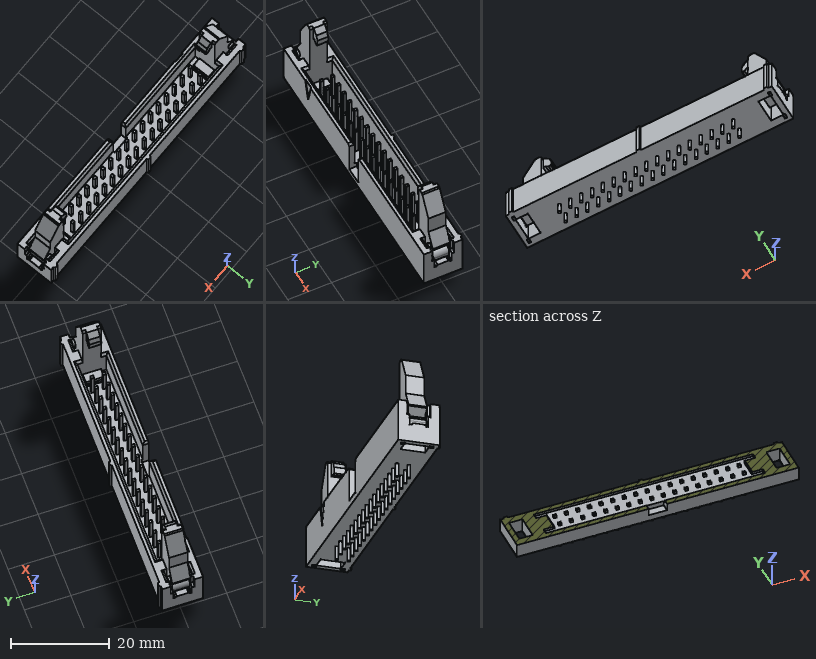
import cadquery as cq


body_length = 62.2
body_width = 8.85
body_height = 9.0
floor_height = 2.6
half_length = body_length / 2
half_width = body_width / 2

cavity_length = 48.3
cavity_width = 6.2
lead_in = 0.55

pins_per_row = 17
row_length = 40.65
pin_pitch = row_length / (pins_per_row - 1)
pin_size = 0.6
pin_top = 8.6
pin_tail = 2.85

key_width = 4.0
key_floor = 1.5
key_inner_y = -2.75
key_chamfer = 0.5

mark_half_width = 1.25
mark_tip_z = 4.3
mark_depth = 0.2

rib_base = 1.05
rib_tip = 0.7
rib_height = 0.4
end_rib_x = 29.8
standoff_x = 29.95
standoff_y = 3.05
standoff_size = (0.5, 0.9)
standoff_height = 0.2

lever_width = 4.0
seat_floor = 4.2
seat_groove_width = 0.75
seat_groove_flat = 0.4
seat_groove_depth = 0.4
entry_width = 5.1
entry_depth = 0.8
entry_floor = 6.0
entry_floor_rise = 0.6
pocket_outer_x = 29.8
pocket_inner_x = 26.95
pocket_width = 5.2
pocket_lead_in = 0.5

lever_top = 21.05
lever_inner_x = 24.15
lever_back_x = 28.45
lip_x = 30.35
arm_bevel = 0.45
back_bevel = (0.3, 0.25)
crown_x = 25.45
shoulder_z = 16.1
waist_z = 12.0
lip_top = 8.65
lip_bottom = 8.35
neck_top = (28.8, 6.85)
neck_bottom = (28.95, 6.35)
grip_middle = (29.7, 5.9)
grip_edge = (30.0, 5.2)
grip_foot_x = 29.9
foot_tip_x = 21.7
foot_height = 1.0
foot_tip_height = 0.25
foot_nose = (0.2, 0.7)
hook_width = 2.5
hook_tip_x = 22.2
hook_crown_x = 23.9
hook_slope_end = (22.7, 20.0)
hook_tip_top = 18.85
hook_tip_bottom = 17.5
hook_barb_x = (22.4, 22.9)
hook_barb_z = 17.2
hook_throat = (23.6, 17.8)
hook_root_z = 17.6
pivot_x = 29.2
pivot_z = 8.4
pivot_radius = 0.75
pivot_length = 5.1


def centred_block(x_range, width, z_range):
    """Box between two limits along X and Z, symmetric about Y = 0."""
    (x0, x1), (z0, z1) = x_range, z_range
    box = cq.Workplane("XY").box(x1 - x0, width, z1 - z0, centered=(False, True, False))
    return box.translate((x0, 0, z0))


def to_left(point):
    """Profile point at the left end, from its distance to the middle and its height."""
    distance, z = point
    return (-distance, z)


def at_both_ends(left_end):
    """The left-end shape together with its mirror image at the right end."""
    return left_end.union(left_end.mirror("YZ"))


def make_cavity():
    straight = centred_block(
        (-cavity_length / 2, cavity_length / 2), cavity_width, (floor_height, body_height)
    )
    mouth = (
        cq.Workplane("XY", origin=(0, 0, body_height - lead_in))
        .rect(cavity_length, cavity_width)
        .workplane(offset=lead_in)
        .rect(cavity_length + 2 * lead_in, cavity_width + 2 * lead_in)
        .loft(ruled=True)
    )
    return straight.union(mouth)


def make_key_slot():
    half_key = key_width / 2
    return (
        cq.Workplane("XZ", origin=(0, key_inner_y, 0))
        .moveTo(-half_key, key_floor)
        .lineTo(half_key, key_floor)
        .lineTo(half_key, body_height - key_chamfer)
        .lineTo(half_key + key_chamfer, body_height)
        .lineTo(-half_key - key_chamfer, body_height)
        .lineTo(-half_key, body_height - key_chamfer)
        .close()
        .extrude(half_width + key_inner_y)
    )


def make_pin_one_mark():
    first_pin_x = -row_length / 2
    return (
        cq.Workplane("XZ", origin=(first_pin_x, -half_width + mark_depth, 0))
        .moveTo(0, mark_tip_z)
        .lineTo(mark_half_width, body_height)
        .lineTo(-mark_half_width, body_height)
        .close()
        .extrude(mark_depth)
    )


def make_lever_pocket():
    """Through opening around the pivot, flared in Y at the top."""
    length = pocket_outer_x - pocket_inner_x
    middle_x = -(pocket_outer_x + pocket_inner_x) / 2
    straight = centred_block((-pocket_outer_x, -pocket_inner_x), pocket_width, (0, body_height))
    mouth = (
        cq.Workplane("XY", origin=(middle_x, 0, body_height - pocket_lead_in))
        .rect(length, pocket_width)
        .workplane(offset=pocket_lead_in)
        .rect(length, pocket_width + 2 * pocket_lead_in)
        .loft(ruled=True)
    )
    return straight.union(mouth)


def make_entry():
    """Wider mouth of the lever slot, with a floor that falls towards the end face."""
    inner_x = -half_length + entry_depth
    return (
        cq.Workplane("XZ")
        .moveTo(-half_length, entry_floor)
        .lineTo(inner_x, entry_floor + entry_floor_rise)
        .lineTo(inner_x, body_height)
        .lineTo(-half_length, body_height)
        .close()
        .extrude(entry_width / 2, both=True)
    )


def make_seat_groove():
    """Groove along the +Y side of the slot floor, sloped on its inner side."""
    outer_y = lever_width / 2
    groove_bottom = seat_floor - seat_groove_depth
    return (
        cq.Workplane("YZ", origin=(-half_length, 0, 0))
        .moveTo(outer_y, seat_floor)
        .lineTo(outer_y, groove_bottom)
        .lineTo(outer_y - seat_groove_flat, groove_bottom)
        .lineTo(outer_y - seat_groove_width, seat_floor)
        .close()
        .extrude(half_length - pocket_inner_x)
    )


def make_lever_seat():
    """Left-end slot for the lever, its wider entry and the pivot pocket."""
    slot = centred_block((-half_length, -pocket_inner_x), lever_width, (seat_floor, body_height))
    inner_slot = centred_block(
        (-pocket_inner_x, -cavity_length / 2), lever_width, (floor_height, body_height)
    )
    seat = slot.union(inner_slot).union(make_entry()).union(make_lever_pocket())
    groove = make_seat_groove()
    return seat.union(groove).union(groove.mirror("XZ"))


def make_crush_rib(x):
    return (
        cq.Workplane("XY", origin=(x, half_width, 0))
        .moveTo(-rib_base / 2, 0)
        .lineTo(rib_base / 2, 0)
        .lineTo(rib_tip / 2, rib_height)
        .lineTo(-rib_tip / 2, rib_height)
        .close()
        .extrude(body_height)
    )


def make_housing():
    housing = centred_block((-half_length, half_length), body_width, (0, body_height))
    housing = housing.cut(make_cavity()).cut(make_key_slot()).cut(make_pin_one_mark())
    housing = housing.cut(at_both_ends(make_lever_seat()))
    for x in (-end_rib_x, 0, end_rib_x):
        housing = housing.union(make_crush_rib(x))
    standoffs = (
        cq.Workplane("XY")
        .rect(2 * standoff_x, 2 * standoff_y, forConstruction=True)
        .vertices()
        .rect(*standoff_size)
        .extrude(-standoff_height)
    )
    return housing.union(standoffs)


def make_pins():
    """Two rows of pins, square in the cavity and round below the housing."""
    rows = cq.Workplane("XY").rarray(pin_pitch, pin_pitch, pins_per_row, 2)
    posts = rows.rect(pin_size, pin_size).extrude(pin_top)
    tails = rows.circle(pin_size / 2).extrude(-pin_tail)
    return posts.union(tails)


def make_arm():
    """Left-end lever arm with a stepped back, a finger grip and an ejector foot."""
    return (
        cq.Workplane("XZ")
        .moveTo(-lever_inner_x - arm_bevel, lever_top)
        .lineTo(-crown_x, lever_top)
        .lineTo(-crown_x - back_bevel[0], lever_top - back_bevel[1])
        .lineTo(-lever_back_x, shoulder_z)
        .lineTo(-lever_back_x, waist_z)
        .lineTo(-lip_x, lip_top)
        .lineTo(-lip_x, lip_bottom)
        .lineTo(*to_left(neck_top))
        .lineTo(*to_left(neck_bottom))
        .threePointArc(to_left(grip_middle), to_left(grip_edge))
        .lineTo(-grip_foot_x, seat_floor)
        .lineTo(-pocket_inner_x, seat_floor)
        .lineTo(-pocket_inner_x, floor_height)
        .lineTo(-foot_tip_x, floor_height)
        .lineTo(-foot_tip_x, floor_height + foot_tip_height)
        .lineTo(-foot_tip_x - foot_nose[0], floor_height + foot_nose[1])
        .lineTo(-hook_tip_x, floor_height + foot_height)
        .lineTo(-lever_inner_x, floor_height + foot_height)
        .lineTo(-lever_inner_x, lever_top - arm_bevel)
        .close()
        .extrude(lever_width / 2, both=True)
    )


def make_hook():
    """Narrow hook that overhangs the cavity from the top of the left-end arm."""
    return (
        cq.Workplane("XZ")
        .moveTo(-lever_inner_x - arm_bevel, lever_top)
        .lineTo(-hook_crown_x, lever_top)
        .lineTo(*to_left(hook_slope_end))
        .lineTo(-hook_tip_x, hook_tip_top)
        .lineTo(-hook_tip_x, hook_tip_bottom)
        .lineTo(-hook_barb_x[0], hook_barb_z)
        .lineTo(-hook_barb_x[1], hook_barb_z)
        .lineTo(*to_left(hook_throat))
        .lineTo(-lever_inner_x, hook_root_z)
        .lineTo(-lever_inner_x - arm_bevel, hook_root_z)
        .close()
        .extrude(hook_width / 2, both=True)
    )


def make_lever():
    pivot = (
        cq.Workplane("XZ", origin=(-pivot_x, 0, pivot_z))
        .circle(pivot_radius)
        .extrude(pivot_length / 2, both=True)
    )
    return make_arm().union(make_hook()).union(pivot)


result = make_housing().union(make_pins()).union(at_both_ends(make_lever()))